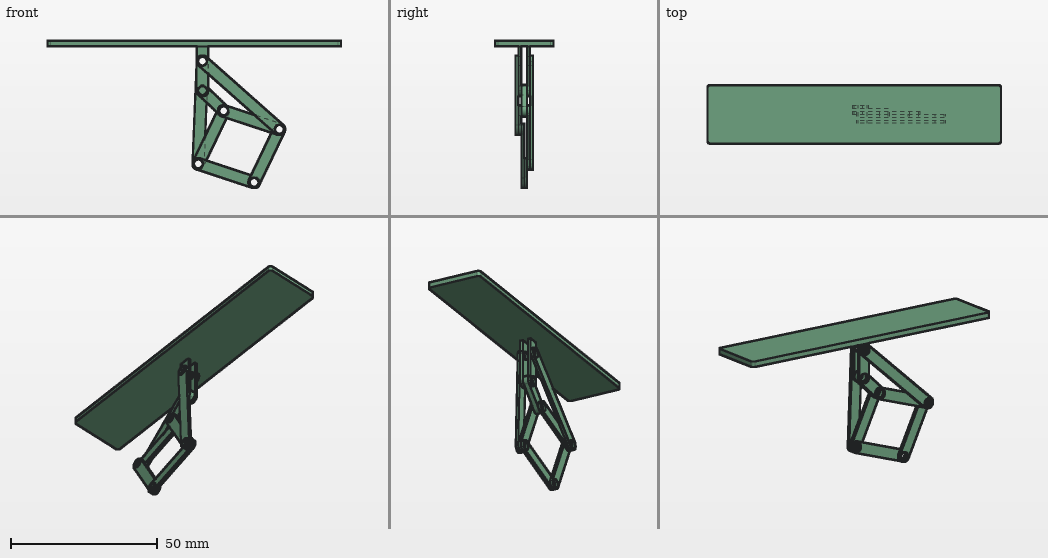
import math

import cadquery as cq


plate_length = 100.0
plate_width = 20.0
plate_thickness = 2.0
plate_corner_radius = 1.0
plate_center_x = -2.8

bar_width = 4.0
bar_radius = bar_width / 2
layer = 1.0
hole_diameter = 3.0

pivot_drop = 5.0
crank_length = 10.0
long_length = 35.0
short_length = 20.0
crank_angle = math.radians(46.1)

fixed_joint = (0.0, 0.0)
crank_joint = (0.0, -crank_length)
near_joint = (
    crank_joint[0] + crank_length * math.sin(crank_angle),
    crank_joint[1] - crank_length * math.cos(crank_angle),
)

axis_angle = math.atan2(near_joint[0], -near_joint[1])
near_distance = math.hypot(*near_joint)
far_distance = (long_length**2 - short_length**2) / near_distance
middle_distance = (near_distance + far_distance) / 2
spread_angle = math.acos(middle_distance / long_length)


def joint_at(distance, angle):
    """Point at a distance from the fixed joint, the angle taken from straight down toward +X."""
    return (distance * math.sin(angle), -distance * math.cos(angle))


left_joint = joint_at(long_length, axis_angle - spread_angle)
right_joint = joint_at(long_length, axis_angle + spread_angle)
far_joint = joint_at(far_distance, axis_angle)


def xz_plane(y):
    """Plane parallel to XZ at the given Y; it extrudes toward +Y and its local y is -Z."""
    return cq.Workplane(cq.Plane(origin=(0, y, 0), xDir=(1, 0, 0), normal=(0, 1, 0)))


def make_hole_plug(joint, y_start, thickness):
    """Cylinder along Y that cuts the pivot hole at a joint."""
    x, z = joint
    return xz_plane(y_start).center(x, -z).circle(hole_diameter / 2).extrude(thickness)


def make_link(start, end, y_start, thickness=layer):
    """Round-ended bar between two joints, with a hole at each joint."""
    dx = end[0] - start[0]
    dz = end[1] - start[1]
    length = math.hypot(dx, dz)
    middle_x = (start[0] + end[0]) / 2
    middle_z = (start[1] + end[1]) / 2
    tilt = math.degrees(math.atan2(-dz, dx))
    link = (
        xz_plane(y_start)
        .center(middle_x, -middle_z)
        .slot2D(length + bar_width, bar_width, tilt)
        .extrude(thickness)
    )
    for joint in (start, end):
        link = link.cut(make_hole_plug(joint, y_start, thickness))
    return link


def make_hanger(y_start):
    """Strap from the plate down to the crank joint, with holes at the fixed and crank joints."""
    strap = (
        xz_plane(y_start)
        .moveTo(-bar_radius, -pivot_drop)
        .lineTo(bar_radius, -pivot_drop)
        .lineTo(bar_radius, crank_length)
        .threePointArc((0, crank_length + bar_radius), (-bar_radius, crank_length))
        .close()
        .extrude(layer)
    )
    for joint in (fixed_joint, crank_joint):
        strap = strap.cut(make_hole_plug(joint, y_start, layer))
    return strap


def make_frame():
    """Plate with its two hangers, one on each side of the crank."""
    frame = (
        cq.Workplane("XY", origin=(plate_center_x, 0, pivot_drop))
        .rect(plate_length, plate_width)
        .extrude(plate_thickness)
        .edges("|Z")
        .fillet(plate_corner_radius)
    )
    for y_start in (-2 * layer, layer):
        frame = frame.union(make_hanger(y_start))
    return frame


frame = make_frame()

crank = make_link(crank_joint, near_joint, -layer, 2 * layer)

long_link_places = [
    (fixed_joint, right_joint, -3 * layer),
    (fixed_joint, left_joint, 2 * layer),
]
short_link_places = [
    (near_joint, right_joint, -2 * layer),
    (near_joint, left_joint, layer),
    (right_joint, far_joint, -layer),
    (left_joint, far_joint, 0.0),
]
long_links = [make_link(*place) for place in long_link_places]
short_links = [make_link(*place) for place in short_link_places]

links = [link.val() for link in long_links + short_links]
result = cq.Compound.makeCompound([frame.val(), crank.val(), *links])